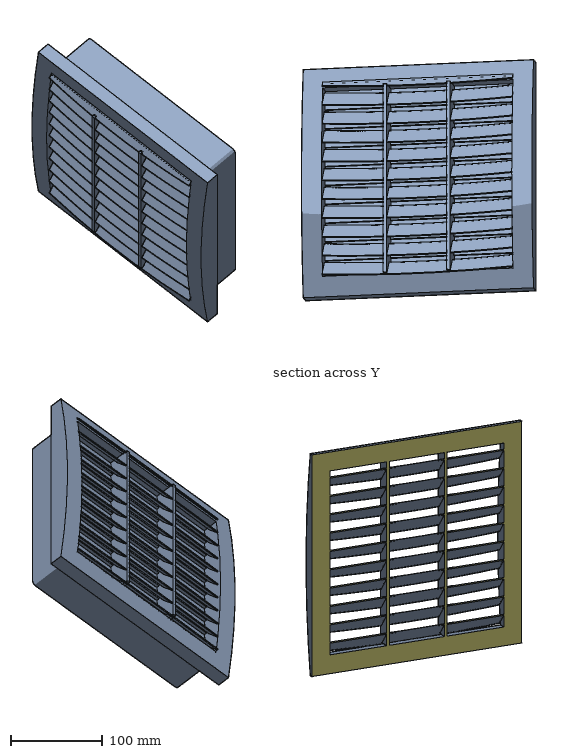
import cadquery as cq
import math


FRAME_SIZE = 257.0
FRAME_EDGE_DEPTH = 15.5
FRAME_BULGE = 10.3
FRAME_DEPTH = FRAME_EDGE_DEPTH + FRAME_BULGE
WINDOW_SIZE = 212.3

HOUSING_SIZE = 223.5
HOUSING_DEPTH = 46.3
HOUSING_CORNER_RADIUS = 5.1

SLAT_GAPS = 10
SLAT_PITCH = WINDOW_SIZE / SLAT_GAPS
SLAT_SLOPE = 50.0
SLAT_THICKNESS = 1.3
SLAT_LENGTH = 21.0
SLAT_BOW = 5.1
SLAT_TIP_DEPTH = 25.2
LOWEST_TIP_Z = -108.2

PANEL_TILT = 10.0

BAR_WIDTH = 3.9
BAR_SPACING = WINDOW_SIZE / 3


def make_frame():
    """Square frame with a front arched from top to bottom and a square window."""
    half = FRAME_SIZE / 2
    side_profile = (
        cq.Workplane("YZ", origin=(-half, 0, 0))
        .moveTo(0, -half)
        .lineTo(-FRAME_EDGE_DEPTH, -half)
        .threePointArc((-FRAME_DEPTH, 0), (-FRAME_EDGE_DEPTH, half))
        .lineTo(0, half)
        .close()
    )
    window = cq.Workplane("XY").box(WINDOW_SIZE, 2 * FRAME_DEPTH, WINDOW_SIZE)
    return side_profile.extrude(FRAME_SIZE).cut(window)


def make_housing():
    """Block behind the frame with rounded long edges; its front closes the window."""
    return (
        cq.Workplane("XY")
        .box(HOUSING_SIZE, HOUSING_DEPTH, HOUSING_SIZE)
        .edges("|Y")
        .fillet(HOUSING_CORNER_RADIUS)
        .translate((0, HOUSING_DEPTH / 2, 0))
    )


def make_slat(tip_z):
    """Sloping plate with parallel arcs as front and rear edges."""
    half = WINDOW_SIZE / 2
    slope = math.radians(SLAT_SLOPE)
    top_face = cq.Plane(
        origin=(0, -SLAT_TIP_DEPTH, tip_z),
        xDir=(1, 0, 0),
        normal=(0, -math.sin(slope), math.cos(slope)),
    )
    return (
        cq.Workplane(top_face)
        .moveTo(-half, SLAT_BOW)
        .threePointArc((0, 0), (half, SLAT_BOW))
        .lineTo(half, SLAT_LENGTH + SLAT_BOW)
        .threePointArc((0, SLAT_LENGTH), (-half, SLAT_LENGTH + SLAT_BOW))
        .close()
        .extrude(-SLAT_THICKNESS)
    )


def make_panels():
    """Sawtooth floor of the window, rooted in the housing: one leaning face per slat gap."""
    foot_depth = SLAT_PITCH * math.tan(math.radians(PANEL_TILT))
    profile = cq.Workplane("YZ", origin=(-WINDOW_SIZE / 2, 0, -WINDOW_SIZE / 2)).moveTo(HOUSING_DEPTH, 0)
    for index in range(SLAT_GAPS):
        foot_z = index * SLAT_PITCH
        profile = profile.lineTo(-foot_depth, foot_z).lineTo(0, foot_z + SLAT_PITCH)
    return profile.lineTo(HOUSING_DEPTH, WINDOW_SIZE).close().extrude(WINDOW_SIZE)


def make_bars():
    """Two upright bars that divide the window into equal thirds."""
    return (
        cq.Workplane("XY", origin=(0, -FRAME_DEPTH / 2, 0))
        .pushPoints([(-BAR_SPACING / 2, 0), (BAR_SPACING / 2, 0)])
        .rect(BAR_WIDTH, FRAME_DEPTH)
        .extrude(WINDOW_SIZE / 2, both=True)
    )


result = make_housing().union(make_frame()).union(make_panels()).union(make_bars())
for slat_index in range(SLAT_GAPS + 1):
    result = result.union(make_slat(LOWEST_TIP_Z + slat_index * SLAT_PITCH))